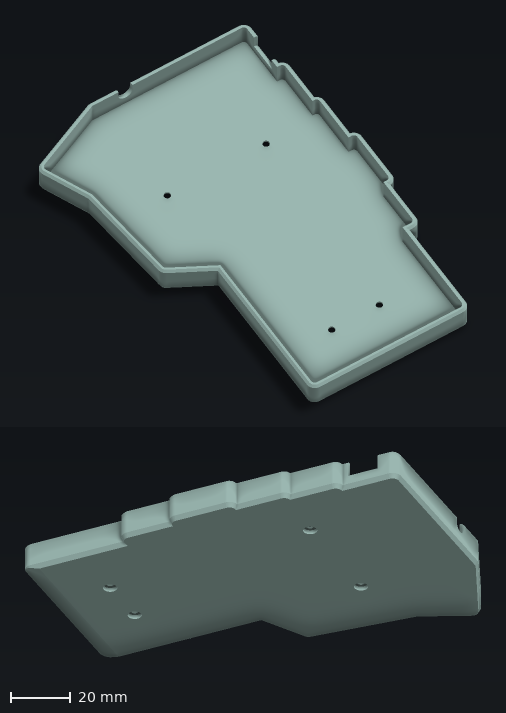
import cadquery as cq


LENGTH = 139.4
HEIGHT = 10.6
CORNER_RADIUS = 3.0
WALL = 1.7
FLOOR = 2.2

TOP_CHAMFER = 0.8
BASE_CHAMFER_HEIGHT = 1.7
BASE_CHAMFER_INSET = 0.8
END_BEVEL_LENGTH = 6.0

RIGHT = LENGTH - 2 * CORNER_RADIUS
BACK = 57.0
BACK_STEPS = [
    (19.9, 2.5),
    (38.0, 4.6),
    (57.1, 7.2),
    (76.1, 4.6),
    (95.2, 0.0),
]
FRONT_CORNERS = [
    (0, -2.1),
    (11.5, -28.3),
    (28.7, -20.6),
    (66.6, -16.6),
    (76.0, 0),
]

PORT_START = 4.2
PORT_WIDTH = 11.0
PORT_DEPTH = 5.2
SILL_CHAMFER = 0.8
CABLE_NOTCH_Y = 10.9
CABLE_NOTCH_WIDTH = 5.6
CABLE_NOTCH_DEPTH = 5.2

HOLE_DIAMETER = 2.5
HEAD_DIAMETER = 4.7
HEAD_DEPTH = 1.5
HOLE_CENTRES = [(38.0, 41.5), (38.0, 2.2), (114.1, 37.9), (114.1, 19.0)]


def core_outline():
    """Sharp-cornered outline that all walls are offset from."""
    back_edge = [(0, BACK)]
    level = BACK
    for x, rise in BACK_STEPS:
        back_edge.append((x, level))
        level = BACK + rise
        back_edge.append((x, level))
    right_edge = [(RIGHT, 0), (RIGHT, BACK)]
    points = FRONT_CORNERS + right_edge + back_edge[::-1]
    return cq.Workplane("XY").polyline(points).close()


def body():
    """Solid block with rounded corners and bevelled top and bottom rims."""
    block = core_outline().offset2D(CORNER_RADIUS).extrude(HEIGHT)
    block = block.faces("<Z").chamfer(BASE_CHAMFER_HEIGHT, BASE_CHAMFER_INSET)
    return block.faces(">Z").chamfer(TOP_CHAMFER)


def end_bevel():
    """Long shallow wedge under the right-hand end."""
    end = RIGHT + CORNER_RADIUS
    return (
        cq.Workplane("XZ")
        .polyline([(end - END_BEVEL_LENGTH, 0), (end, 0), (end, BASE_CHAMFER_HEIGHT)])
        .close()
        .extrude(LENGTH, both=True)
    )


def cavity():
    """Tray interior, open at the top."""
    return core_outline().offset2D(CORNER_RADIUS - WALL).extrude(HEIGHT).translate((0, 0, FLOOR))


def port():
    """Opening through the back wall, with the outer part of its sill sloping down outwards."""
    sill = HEIGHT - PORT_DEPTH
    inside = BACK
    outside = BACK + CORNER_RADIUS
    return (
        cq.Workplane("YZ")
        .polyline(
            [
                (inside, HEIGHT),
                (inside, sill),
                (outside - SILL_CHAMFER, sill),
                (outside, sill - SILL_CHAMFER),
                (outside, HEIGHT),
            ]
        )
        .close()
        .extrude(PORT_WIDTH)
        .translate((PORT_START, 0, 0))
    )


def cable_notch():
    """Round-bottomed notch through the left wall."""
    radius = CABLE_NOTCH_WIDTH / 2
    centre_z = HEIGHT - CABLE_NOTCH_DEPTH + radius
    return (
        cq.Workplane("YZ")
        .moveTo(CABLE_NOTCH_Y - radius, HEIGHT)
        .lineTo(CABLE_NOTCH_Y - radius, centre_z)
        .threePointArc((CABLE_NOTCH_Y, centre_z - radius), (CABLE_NOTCH_Y + radius, centre_z))
        .lineTo(CABLE_NOTCH_Y + radius, HEIGHT)
        .close()
        .extrude(CORNER_RADIUS, both=True)
        .translate((-CORNER_RADIUS, 0, 0))
    )


def screw_holes():
    """Through holes in the floor, counterbored from underneath."""
    centres = cq.Workplane("XY").pushPoints(HOLE_CENTRES)
    shanks = centres.circle(HOLE_DIAMETER / 2).extrude(HEIGHT)
    heads = centres.circle(HEAD_DIAMETER / 2).extrude(HEAD_DEPTH)
    return shanks.union(heads)


result = (
    body()
    .cut(end_bevel())
    .cut(cavity())
    .cut(port())
    .cut(cable_notch())
    .cut(screw_holes())
)